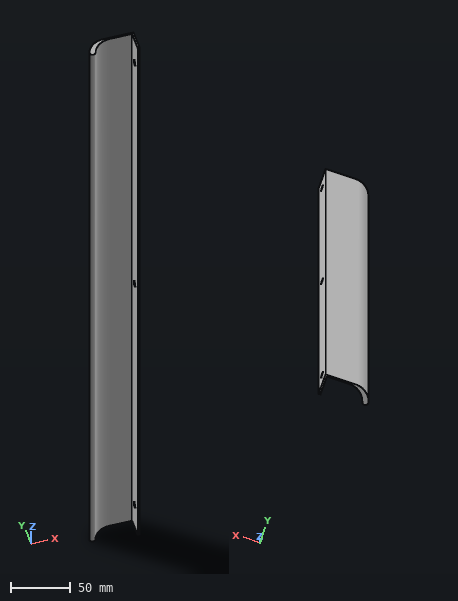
import cadquery as cq
import math

length = 600.0
width = 42.0
depth = 18.0

sheet = 1.5
flange = 2.0

tip_radius = 2.61
tip_drop = 12.0
tip_tilt = math.radians(18)

hole_diameter = 5.2
hole_count = 3
hole_end_distance = 27.5
hole_drop = 9.0

right = width / 2
left = -width / 2
back = depth / 2
front = -depth / 2


def polar(center, radius, angle):
    """Point at the given angle on a circle."""
    return (center[0] + radius * math.cos(angle), center[1] + radius * math.sin(angle))


def make_profile():
    tip_center = (left + tip_radius, back - tip_drop)
    outer_angle = math.pi - tip_tilt
    middle_angle = (outer_angle + math.pi / 2) / 2
    tip_outer = polar(tip_center, tip_radius, outer_angle)
    tip_end = polar(tip_center, tip_radius, outer_angle + math.pi / 2)
    tip_inner = polar(tip_center, tip_radius, outer_angle + math.pi)

    outer_radius = (back - tip_outer[1]) / (1 - math.sin(tip_tilt))
    outer_center = (tip_outer[0] + outer_radius * math.cos(tip_tilt), back - outer_radius)
    outer_middle = polar(outer_center, outer_radius, middle_angle)

    underside = back - sheet
    inner_radius = (underside - tip_inner[1]) / (1 - math.sin(tip_tilt))
    inner_center = (tip_inner[0] + inner_radius * math.cos(tip_tilt), underside - inner_radius)
    inner_middle = polar(inner_center, inner_radius, middle_angle)

    return (
        cq.Workplane("XY")
        .workplane(offset=-length / 2)
        .moveTo(right, front)
        .lineTo(right, back)
        .lineTo(outer_center[0], back)
        .threePointArc(outer_middle, tip_outer)
        .threePointArc(tip_end, tip_inner)
        .threePointArc(inner_middle, (inner_center[0], underside))
        .lineTo(right - flange, underside)
        .lineTo(right - flange, front)
        .close()
        .extrude(length)
    )


def make_hole_cutters():
    spacing = (length - 2 * hole_end_distance) / (hole_count - 1)
    first_z = -length / 2 + hole_end_distance
    positions = [(back - hole_drop, first_z + i * spacing) for i in range(hole_count)]
    return (
        cq.Workplane("YZ")
        .workplane(offset=right - flange)
        .pushPoints(positions)
        .circle(hole_diameter / 2)
        .extrude(flange)
    )


result = make_profile().cut(make_hole_cutters())